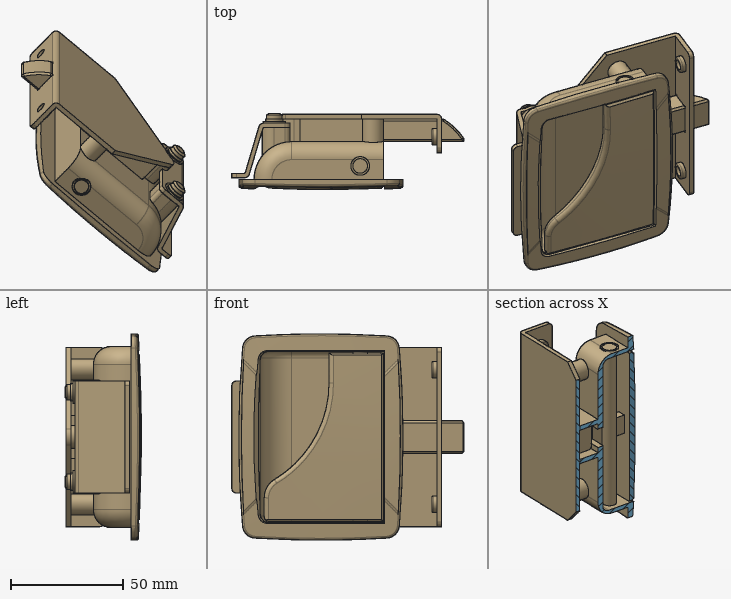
import cadquery as cq
import math


flange_half_x = 36.6
flange_half_z = 46.0
flange_side_sag_x = 2.1
flange_side_sag_z = 1.25
flange_corner_radius = 6.0
rim_radius = 0.9
crown_front_y = -4.59
crown_radius = 750.0

strip_height = 0.3
strip_outer_x = 34.4
strip_outer_half_z = 34.5
strip_bulge = 1.0
strip_bulge_radius = (strip_outer_half_z**2 + strip_bulge**2) / (2 * strip_bulge)
strip_ramp_width = 1.0

dish_left_x = -29.85
dish_right_x = 28.0
dish_half_z = 40.4
dish_depth = 16.8
dish_edge_radius = 8.0
dish_bend_x = dish_left_x + dish_depth
floor_thickness = 3.0
inner_bend_radius = 14.0
inner_left_x = dish_bend_x - inner_bend_radius
inner_right_x = dish_right_x - 1.3
inner_half_z = 38.2
inner_edge_radius = 3.0
inner_floor_y = dish_depth - floor_thickness

opening_right_x = 28.3
opening_corner_radius = 4.0
opening_bulge = 0.9
lip_width = 2.6
lip_height = 0.9
lip_depth = 2.5
seat_y = -0.8

window_left_x = 10.7
window_right_x = 19.9
window_half_z = 4.6

bolt_half_z = 7.25
bolt_left_x = 16.5
bolt_tip_x = 63.67
bolt_back_y = 26.9
bolt_tip_thickness = 1.5
bolt_ramp_start_x = 54.7
bolt_ramp_middle = (59.5, 23.2)
bolt_chamfer = 0.9
bolt_tip_chamfer = 0.3
guide_left_x = -9.3
guide_half_z = 9.65
nose_center_x = -12.1
nose_radius = 5.1

post_x = 23.3
post_z = 30.1
post_diameter = 9.4

bracket_thickness = 2.15
bracket_half_z = 40.0
bracket_shoulder_x = 18.1
bracket_right_x = 53.85
bracket_flange_front_y = 11.8
bracket_flange_corner_radius = 2.2
bushing_y = 19.0
bushing_z = 30.0
bushing_diameter = 7.4
bushing_height = 2.2
bushing_bore = 4.5
bushing_edge_radius = 0.6

clamp_thickness = 2.0
clamp_top_y = 25.07
clamp_foot_y = 0.7
clamp_left_x = -39.75
clamp_knee_x = -33.85
clamp_right_x = -13.8
clamp_lean = math.radians(16.5)
clamp_half_z = 25.0
clamp_corner_radius = 2.1
bend_outer_radius = 2.4
bend_inner_radius = 0.4
screw_x = -20.8
screw_z = 20.0
pillar_radius = 5.4
shank_diameter = 5.0
shank_depth = 5.0
washer_diameter = 10.0
washer_thickness = 0.75
collar_diameter = 7.8
collar_height = 1.15
head_diameter = 7.0
head_top_diameter = 4.7
head_shoulder_y = 28.6
screw_top_y = 29.45

paddle_top_z = 37.4
paddle_bottom_z = -37.6
paddle_right_x = 27.8
paddle_upper_left_x = 3.6
paddle_sweep_top_z = 24.0
paddle_sweep_radius = 50.0
paddle_sweep_angle = math.radians(59)
paddle_heel_radius = 9.5
paddle_lip_radius = 2.0
paddle_heel_corner_radius = 2.0
paddle_bevel = 0.9
hinge_x = 17.5
hinge_y = 6.0
hinge_diameter = 6.5
hinge_counterbore_diameter = 8.3
hinge_counterbore_depth = 1.0
hinge_web_thickness = 4.0
hinge_web_half_z = 4.6


def sketch_at(y):
    """Workplane parallel to XZ at depth y; extrusions run toward -Y."""
    return cq.Workplane("XZ", origin=(0, y, 0))


def box_between(x0, x1, y0, y1, half_z):
    """Box between two X and two Y values, centred on Z = 0."""
    return cq.Workplane("XY").rect(x1 - x0, y1 - y0).extrude(half_z, both=True).translate(
        ((x0 + x1) / 2, (y0 + y1) / 2, 0)
    )


def crown_ball(front_y):
    """Ball whose front pole lies at front_y; it shapes the domed front faces."""
    return cq.Workplane("XY").sphere(crown_radius).translate((0, front_y + crown_radius, 0))


def make_flange():
    corner_x = flange_half_x - flange_side_sag_x
    corner_z = flange_half_z - flange_side_sag_z
    slab = (
        sketch_at(0)
        .moveTo(-corner_x, -corner_z)
        .threePointArc((0, -flange_half_z), (corner_x, -corner_z))
        .threePointArc((flange_half_x, 0), (corner_x, corner_z))
        .threePointArc((0, flange_half_z), (-corner_x, corner_z))
        .threePointArc((-flange_half_x, 0), (-corner_x, -corner_z))
        .close()
        .extrude(-2 * crown_front_y)
        .edges("|Y")
        .fillet(flange_corner_radius)
    )
    domed = slab.intersect(crown_ball(crown_front_y))
    return domed.faces("<Y").edges().fillet(rim_radius)


def make_raised_strip():
    """Raised strip on the +X side of the flange, with ramped 45 degree ends."""
    end_half_z = strip_outer_half_z - (strip_outer_x - inner_right_x)
    prism = (
        sketch_at(-1)
        .moveTo(inner_right_x, 0)
        .lineTo(inner_right_x, end_half_z)
        .lineTo(strip_outer_x, strip_outer_half_z)
        .radiusArc((strip_outer_x + strip_bulge, 0), strip_bulge_radius)
        .close()
        .extrude(-2 * crown_front_y)
    )
    half_strip = prism.intersect(crown_ball(crown_front_y - strip_height))
    half_strip = half_strip.faces("<Y").edges(">Z").chamfer(strip_height, strip_ramp_width)
    return half_strip.union(half_strip.mirror("XY"))


def make_dish_shell():
    shell = (
        cq.Workplane("XY")
        .moveTo(dish_left_x, 0)
        .radiusArc((dish_bend_x, dish_depth), dish_depth)
        .lineTo(dish_right_x, dish_depth)
        .lineTo(dish_right_x, 0)
        .close()
        .extrude(dish_half_z, both=True)
    )
    return shell.faces(">Z or <Z").edges("%CIRCLE or >Y").fillet(dish_edge_radius)


def make_dish_hollow():
    bend_center_y = inner_floor_y - inner_bend_radius
    hollow = (
        cq.Workplane("XY")
        .moveTo(inner_left_x, seat_y)
        .lineTo(inner_left_x, bend_center_y)
        .radiusArc((dish_bend_x, inner_floor_y), inner_bend_radius)
        .lineTo(inner_right_x, inner_floor_y)
        .lineTo(inner_right_x, seat_y)
        .close()
        .extrude(inner_half_z, both=True)
    )
    return hollow.faces(">Z or <Z").edges("%CIRCLE or >Y").fillet(inner_edge_radius)


def opening_outline(sketch, left_x, half_z):
    """Opening with a bulging left side, round left corners and square right corners."""
    turn = opening_corner_radius
    return (
        sketch.moveTo(opening_right_x, -half_z)
        .lineTo(opening_right_x, half_z)
        .lineTo(left_x + turn, half_z)
        .radiusArc((left_x, half_z - turn), -turn)
        .threePointArc((left_x - opening_bulge, 0), (left_x, turn - half_z))
        .radiusArc((left_x + turn, -half_z), -turn)
        .close()
    )


def make_opening():
    front_y = crown_front_y - strip_height
    lip_y = front_y + lip_depth
    straight = opening_outline(sketch_at(seat_y), inner_left_x, inner_half_z).extrude(seat_y - front_y)
    lip_wire = opening_outline(sketch_at(lip_y), inner_left_x, inner_half_z)
    flared = opening_outline(
        lip_wire.workplane(offset=lip_depth), inner_left_x - lip_width, inner_half_z + lip_height
    ).loft(ruled=True)
    return straight.union(flared)


def make_pillar(z):
    """Clamp pillar: half round on the left, small corner radii on the right."""
    flat_length = clamp_right_x - screw_x
    round_end = sketch_at(clamp_top_y - clamp_thickness).center(screw_x, z).circle(pillar_radius)
    flat_end = (
        sketch_at(clamp_top_y - clamp_thickness)
        .center(screw_x + flat_length / 2, z)
        .rect(flat_length, 2 * pillar_radius)
        .extrude(clamp_top_y - clamp_thickness)
        .edges("|Y and >X")
        .fillet(clamp_corner_radius)
    )
    return round_end.extrude(clamp_top_y - clamp_thickness).union(flat_end)


def make_post(z):
    height = bolt_back_y - inner_floor_y
    return sketch_at(bolt_back_y).center(post_x, z).circle(post_diameter / 2).extrude(height)


def make_bolt_guide():
    """Channel walls beside the bolt, with a round-ended nose on the left."""
    height = bolt_back_y - inner_floor_y
    nose = sketch_at(bolt_back_y).center(nose_center_x, 0).circle(nose_radius).extrude(height)
    neck = box_between(nose_center_x, guide_left_x, inner_floor_y, bolt_back_y, nose_radius)
    block = box_between(guide_left_x, dish_right_x, inner_floor_y, bolt_back_y, guide_half_z)
    return block.union(neck).union(nose)


def make_hinge_counterbore(side):
    """Shallow counterbore around the hinge pin in one end wall; side is -1 or +1."""
    return (
        cq.Workplane("XY", origin=(hinge_x, hinge_y, side * dish_half_z))
        .circle(hinge_counterbore_diameter / 2)
        .extrude(-side * hinge_counterbore_depth)
    )


def make_hinge_pin():
    return (
        cq.Workplane("XY")
        .center(hinge_x, hinge_y)
        .circle(hinge_diameter / 2)
        .extrude(dish_half_z, both=True)
    )


def make_housing():
    strip = make_raised_strip()
    body = make_flange().union(strip).union(strip.mirror("YZ"))
    body = body.union(make_dish_shell()).union(make_bolt_guide())
    for side in (-1, 1):
        body = body.union(make_pillar(side * screw_z)).union(make_post(side * post_z))
    body = body.cut(make_dish_hollow()).cut(make_opening())
    body = body.cut(box_between(window_left_x, bolt_tip_x, dish_depth, bolt_back_y, bolt_half_z))
    body = body.cut(box_between(window_left_x, window_right_x, 0, dish_depth, window_half_z))
    body = body.cut(make_hinge_pin())
    for side in (-1, 1):
        body = body.cut(make_hinge_counterbore(side)).cut(make_shank(side * screw_z))
    return body.cut(make_clamp())


def make_paddle():
    sweep_end_x = paddle_upper_left_x - paddle_sweep_radius * (1 - math.cos(paddle_sweep_angle))
    sweep_end_z = paddle_sweep_top_z - paddle_sweep_radius * math.sin(paddle_sweep_angle)
    heel_x = sweep_end_x - paddle_heel_radius * (1 - math.cos(paddle_sweep_angle))
    heel_z = sweep_end_z - paddle_heel_radius * math.sin(paddle_sweep_angle)
    slab = (
        sketch_at(seat_y)
        .moveTo(paddle_right_x, paddle_bottom_z)
        .lineTo(paddle_right_x, paddle_top_z)
        .lineTo(paddle_upper_left_x, paddle_top_z)
        .lineTo(paddle_upper_left_x, paddle_sweep_top_z)
        .radiusArc((sweep_end_x, sweep_end_z), paddle_sweep_radius)
        .radiusArc((heel_x, heel_z), -paddle_heel_radius)
        .lineTo(heel_x, paddle_bottom_z)
        .close()
        .extrude(-2 * crown_front_y)
    )
    plate = slab.intersect(crown_ball(crown_front_y))
    plate = plate.faces("<Y").edges(">X or >Z or <Z").chamfer(paddle_bevel)
    rolled_edge = cq.selectors.BoxSelector(
        (heel_x - 1, crown_front_y - 1, paddle_sweep_top_z - 1),
        (paddle_upper_left_x + 1, seat_y - 1, paddle_top_z - 1),
    )
    plate = plate.faces("<Y").edges(rolled_edge).fillet(paddle_lip_radius)
    heel_rounding = (
        sketch_at(seat_y)
        .moveTo(heel_x, paddle_bottom_z)
        .rect(paddle_right_x - heel_x, paddle_top_z - paddle_bottom_z, centered=False)
        .extrude(-2 * crown_front_y)
        .edges("|Y and <X and <Z")
        .fillet(paddle_heel_corner_radius)
    )
    plate = plate.intersect(heel_rounding)
    web = box_between(
        hinge_x - hinge_web_thickness / 2,
        hinge_x + hinge_web_thickness / 2,
        seat_y,
        hinge_y,
        hinge_web_half_z,
    )
    return plate.union(web).union(make_hinge_pin())


def make_bolt():
    bar = (
        cq.Workplane("XY")
        .moveTo(bolt_left_x, dish_depth)
        .lineTo(bolt_tip_x, dish_depth)
        .lineTo(bolt_tip_x, dish_depth + bolt_tip_thickness)
        .threePointArc(bolt_ramp_middle, (bolt_ramp_start_x, bolt_back_y))
        .lineTo(bolt_left_x, bolt_back_y)
        .close()
        .extrude(bolt_half_z, both=True)
    )
    bar = bar.faces(">Z or <Z").edges("not <X").chamfer(bolt_chamfer)
    return bar.faces("<Y").edges(">X").chamfer(bolt_tip_chamfer)


def bracket_plate_outline(sketch):
    """Plate tapering along tangents to a round nose on the left."""
    reach = bracket_shoulder_x - nose_center_x
    distance = math.hypot(reach, bracket_half_z)
    tangent_angle = math.atan2(bracket_half_z, reach) + math.acos(nose_radius / distance)
    tangent_x = nose_center_x + nose_radius * math.cos(tangent_angle)
    tangent_z = nose_radius * math.sin(tangent_angle)
    return (
        sketch.moveTo(bracket_right_x, -bracket_half_z)
        .lineTo(bracket_right_x, bracket_half_z)
        .lineTo(bracket_shoulder_x, bracket_half_z)
        .lineTo(tangent_x, tangent_z)
        .threePointArc((nose_center_x - nose_radius, 0), (tangent_x, -tangent_z))
        .lineTo(bracket_shoulder_x, -bracket_half_z)
        .close()
    )


def make_bracket():
    back_y = bolt_back_y + bracket_thickness
    flange_inner_x = bracket_right_x - bracket_thickness
    plate = bracket_plate_outline(sketch_at(back_y)).extrude(bracket_thickness)
    flange = box_between(flange_inner_x, bracket_right_x, bracket_flange_front_y, back_y, bracket_half_z)
    flange = flange.edges("|X and <Y").fillet(bracket_flange_corner_radius)
    body = plate.union(flange)
    body = body.edges("|Z and >X and >Y").fillet(bracket_thickness)
    body = body.cut(box_between(flange_inner_x, bracket_right_x, dish_depth, bolt_back_y, bolt_half_z))
    for side in (-1, 1):
        face = cq.Workplane("YZ", origin=(flange_inner_x, bushing_y, side * bushing_z))
        bushing = face.circle(bushing_diameter / 2).extrude(-bushing_height)
        bushing = bushing.faces("<X").edges().fillet(bushing_edge_radius)
        bore = face.circle(bushing_bore / 2).extrude(bushing_height + bracket_thickness, both=True)
        body = body.union(bushing).cut(bore)
    return body


def make_clamp():
    foot_top_y = clamp_foot_y + clamp_thickness
    clamp_under_y = clamp_top_y - clamp_thickness
    shoulder_x = clamp_knee_x + (clamp_top_y - foot_top_y) * math.tan(clamp_lean)
    bend_shift = clamp_thickness * (1 / math.cos(clamp_lean) - math.tan(clamp_lean))
    sheet = (
        cq.Workplane("XY")
        .moveTo(clamp_left_x, clamp_foot_y)
        .lineTo(clamp_left_x, foot_top_y)
        .lineTo(clamp_knee_x, foot_top_y)
        .lineTo(shoulder_x, clamp_top_y)
        .lineTo(clamp_right_x, clamp_top_y)
        .lineTo(clamp_right_x, clamp_under_y)
        .lineTo(shoulder_x + bend_shift, clamp_under_y)
        .lineTo(clamp_knee_x + bend_shift, clamp_foot_y)
        .close()
        .extrude(clamp_half_z, both=True)
    )
    outer_bends = ((shoulder_x, clamp_top_y), (clamp_knee_x + bend_shift, clamp_foot_y))
    inner_bends = ((shoulder_x + bend_shift, clamp_under_y), (clamp_knee_x, foot_top_y))
    for bends, radius in ((outer_bends, bend_outer_radius), (inner_bends, bend_inner_radius)):
        for x, y in bends:
            sheet = sheet.edges(cq.selectors.NearestToPointSelector((x, y, 0))).fillet(radius)
    sheet = sheet.edges("|Y").fillet(clamp_corner_radius)
    for side in (-1, 1):
        sheet = sheet.cut(make_shank(side * screw_z))
    return sheet


def make_shank(z):
    length = clamp_thickness + shank_depth
    return sketch_at(clamp_top_y).center(screw_x, z).circle(shank_diameter / 2).extrude(length)


def make_screw(z):
    washer_y = clamp_top_y + washer_thickness
    collar_y = washer_y + collar_height
    head = (
        cq.Workplane("XY")
        .moveTo(0, clamp_top_y)
        .lineTo(washer_diameter / 2, clamp_top_y)
        .lineTo(washer_diameter / 2, washer_y)
        .lineTo(collar_diameter / 2, washer_y)
        .lineTo(collar_diameter / 2, collar_y)
        .lineTo(head_diameter / 2, collar_y)
        .lineTo(head_diameter / 2, head_shoulder_y)
        .lineTo(head_top_diameter / 2, screw_top_y)
        .lineTo(0, screw_top_y)
        .close()
        .revolve(360, (0, 0), (0, 1))
        .translate((screw_x, 0, z))
    )
    return head.union(make_shank(z))


housing = make_housing()
paddle = make_paddle()
bolt = make_bolt()
bracket = make_bracket()
clamp = make_clamp()
screws = [make_screw(side * screw_z) for side in (-1, 1)]

result = cq.Compound.makeCompound(
    [
        housing.val(),
        paddle.val(),
        bolt.val(),
        bracket.val(),
        clamp.val(),
        *[screw.val() for screw in screws],
    ]
)